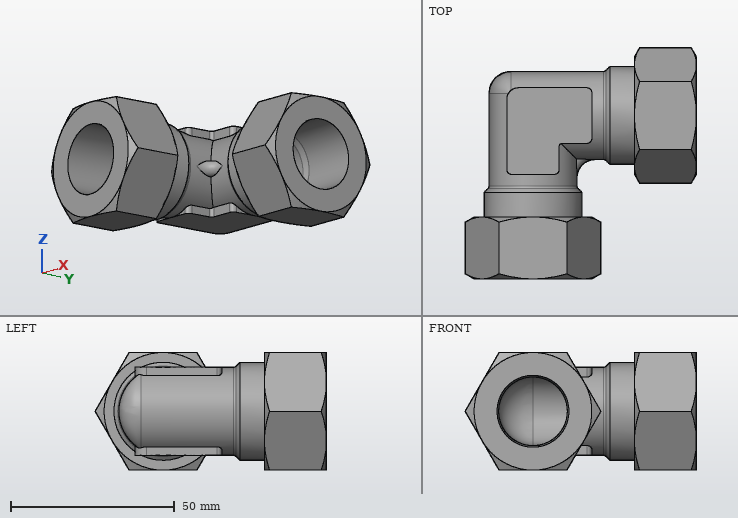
import cadquery as cq
import math


arm_length = 50.0
body_radius = 13.5
corner_radius = body_radius / 2
web_sweep_radius = 5.5
web_edge_radius = 2.5
bore_radius = 10.5
seat_half_angle = 12.0

collar_radius = 15.0
collar_start = 23.5
collar_neck = collar_start - (collar_radius - body_radius)
neck_blend_radius = 1.2

nut_flats = 36.0
nut_corner_diameter = nut_flats / math.cos(math.radians(30))
nut_length = 19.0
nut_start = arm_length - nut_length
nut_chamfer_angle = 30.0
tube_radius = 11.0

pad_half_width_x = 8.0
pad_half_width_y = 8.5
pad_reach = 18.0
pad_heel_radius = 3.5
pad_end_radius = 1.5
pad_crotch_radius = 1.0


def along_minus_y(shape):
    """Turn a shape made for the +X arm into its copy on the -Y arm."""
    return shape.rotate((0, 0, 0), (0, 0, 1), -90)


def make_arm():
    """Solid body arm along +X with its collar, up to the inner face of the nut."""
    blend_angle = math.radians(45)
    blend_setback = neck_blend_radius * math.tan(blend_angle / 2)
    blend_start = (collar_neck - blend_setback, body_radius)
    blend_middle = (
        blend_start[0] + neck_blend_radius * math.sin(blend_angle / 2),
        body_radius + neck_blend_radius * (1 - math.cos(blend_angle / 2)),
    )
    blend_end = (
        blend_start[0] + neck_blend_radius * math.sin(blend_angle),
        body_radius + neck_blend_radius * (1 - math.cos(blend_angle)),
    )
    return (
        cq.Workplane("XY")
        .moveTo(-corner_radius, 0)
        .lineTo(-corner_radius, body_radius)
        .lineTo(*blend_start)
        .threePointArc(blend_middle, blend_end)
        .lineTo(collar_start, collar_radius)
        .lineTo(nut_start, collar_radius)
        .lineTo(nut_start, 0)
        .close()
        .revolve(360, (0, 0, 0), (1, 0, 0))
    )


def make_nut():
    """Hexagonal nut on the +X arm, its corners chamfered at both ends."""
    hexagon = (
        cq.Workplane("YZ", origin=(nut_start, 0, 0))
        .polygon(6, nut_corner_diameter)
        .extrude(nut_length)
    )
    face_radius = nut_flats / 2
    corner_reach = nut_corner_diameter / 2
    chamfer_depth = (corner_reach - face_radius) * math.tan(math.radians(nut_chamfer_angle))
    envelope = (
        cq.Workplane("XY")
        .moveTo(nut_start, 0)
        .lineTo(nut_start, face_radius)
        .lineTo(nut_start + chamfer_depth, corner_reach)
        .lineTo(arm_length - chamfer_depth, corner_reach)
        .lineTo(arm_length, face_radius)
        .lineTo(arm_length, 0)
        .close()
        .revolve(360, (0, 0, 0), (1, 0, 0))
    )
    return hexagon.intersect(envelope)


def sweep_outer_corner(section_radius, axis_offset):
    """Part of a round section beyond a vertical axis, turned a quarter from the -Y arm to the +X arm.

    The axis passes axis_offset outside the center line of both arms.
    """
    tip_height = math.sqrt(section_radius**2 - axis_offset**2)
    return (
        cq.Workplane("XZ", origin=(-axis_offset, axis_offset, 0))
        .moveTo(0, -tip_height)
        .threePointArc((axis_offset - section_radius, 0), (0, tip_height))
        .close()
        .revolve(90, (0, 0, 0), (0, -1, 0))
    )


def make_inner_web():
    """Concave web in the inner corner, its round edge swept a quarter turn between the arms."""
    web_back = web_sweep_radius + body_radius
    return (
        cq.Workplane("XZ", origin=(web_back, -web_back, 0))
        .moveTo(-web_back, -web_edge_radius)
        .lineTo(-web_sweep_radius - web_edge_radius, -web_edge_radius)
        .threePointArc((-web_sweep_radius, 0), (-web_sweep_radius - web_edge_radius, web_edge_radius))
        .lineTo(-web_back, web_edge_radius)
        .close()
        .revolve(90, (0, 0, 0), (0, -1, 0))
    )


def make_pads():
    """L-shaped slab through the body whose two flat ends are the wrench pads."""
    outline = [
        (-pad_half_width_x, pad_half_width_y),
        (pad_reach, pad_half_width_y),
        (pad_reach, -pad_half_width_y),
        (pad_half_width_x, -pad_half_width_y),
        (pad_half_width_x, -pad_reach),
        (-pad_half_width_x, -pad_reach),
    ]
    slab = (
        cq.Workplane("XY", origin=(0, 0, -body_radius))
        .polyline(outline)
        .close()
        .extrude(2 * body_radius)
    )
    heel, end_a, end_b, crotch, end_c, end_d = outline

    def round_corners(solid, corners, radius):
        for x, y in corners:
            solid = solid.edges(cq.selectors.NearestToPointSelector((x, y, 0))).fillet(radius)
        return solid

    slab = round_corners(slab, [end_a, end_b, end_c, end_d], pad_end_radius)
    slab = round_corners(slab, [heel], pad_heel_radius)
    return round_corners(slab, [crotch], pad_crotch_radius)


def make_bore():
    """Bore of the +X arm, widened by a conical seat into a socket for the tube."""
    seat_length = (tube_radius - bore_radius) / math.tan(math.radians(seat_half_angle))
    return (
        cq.Workplane("XY")
        .lineTo(0, bore_radius)
        .lineTo(nut_start - seat_length, bore_radius)
        .lineTo(nut_start, tube_radius)
        .lineTo(arm_length, tube_radius)
        .lineTo(arm_length, 0)
        .close()
        .revolve(360, (0, 0, 0), (1, 0, 0))
    )


arm = make_arm()
body = arm.union(along_minus_y(arm))
nut = make_nut()
bore = make_bore()

result = (
    body.union(sweep_outer_corner(body_radius, corner_radius))
    .union(make_inner_web())
    .union(make_pads())
    .union(nut)
    .union(along_minus_y(nut))
    .cut(bore)
    .cut(along_minus_y(bore))
    .cut(sweep_outer_corner(bore_radius, 0))
)